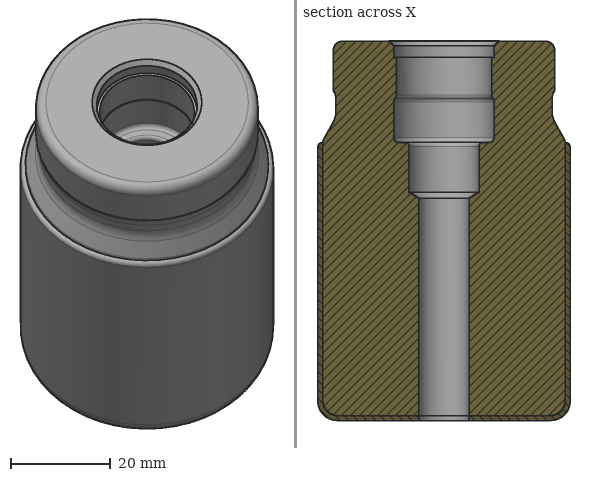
import cadquery as cq
import math

total_height = 76.2
rim_z = 55.85
neck_bottom_z = 62.2
neck_top_z = 64.0
collar_crease_z = 65.75
collar_bottom_z = 66.5

sleeve_radius = 25.4
sleeve_wall = 1.0
sleeve_bottom_fillet = 4.0
rim_fillet = sleeve_wall

core_radius = sleeve_radius - sleeve_wall
core_bottom_fillet = sleeve_bottom_fillet - sleeve_wall
cone_half_angle = math.radians(30.0)
cone_foot_fillet = 1.0
neck_radius = 21.75
neck_lower_fillet = 5.0
collar_radius = 22.3
collar_top_fillet = 2.0
collar_bottom_fillet = 1.0

bore_radius = 10.07
mouth_chamfer = 0.93
mouth_depth = 3.3
lip_radius = 9.5
lip_bottom_z = 65.35
lip_fillet = 1.0
bore_floor_z = 55.85
bore_floor_fillet = 1.0

pilot_radius = 7.0
pilot_edge_fillet = 0.75
pilot_depth = 10.0
through_radius = 5.0
drill_point_angle = math.radians(118.0)


def arc_point(center, radius, angle):
    """Point on a circle of the (r, z) half plane at an angle in radians."""
    return (center[0] + radius * math.cos(angle), center[1] + radius * math.sin(angle))


def revolve_about_z(profile):
    """Full turn of a closed (r, z) profile about the Z axis."""
    return profile.close().revolve(360, (0, 0), (0, 1))


def make_core_blank():
    """Solid core: cylinder with rounded foot, conical shoulder, neck and collar."""
    base_z = sleeve_wall
    bottom_center = (core_radius - core_bottom_fillet, base_z + core_bottom_fillet)
    foot_center = (core_radius - cone_foot_fillet, rim_z)
    neck_center = (neck_radius + neck_lower_fillet, neck_bottom_z)
    collar_top_center = (collar_radius - collar_top_fillet, total_height - collar_top_fillet)

    collar_bottom_center = (collar_radius - collar_bottom_fillet, collar_bottom_z)
    crease_angle = -math.asin((collar_bottom_z - collar_crease_z) / collar_bottom_fillet)
    crease = arc_point(collar_bottom_center, collar_bottom_fillet, crease_angle)

    return revolve_about_z(
        cq.Workplane("XZ")
        .moveTo(0, base_z)
        .lineTo(bottom_center[0], base_z)
        .threePointArc(
            arc_point(bottom_center, core_bottom_fillet, -math.pi / 4),
            (core_radius, bottom_center[1]),
        )
        .lineTo(core_radius, rim_z)
        .threePointArc(
            arc_point(foot_center, cone_foot_fillet, cone_half_angle / 2),
            arc_point(foot_center, cone_foot_fillet, cone_half_angle),
        )
        .lineTo(*arc_point(neck_center, neck_lower_fillet, math.pi + cone_half_angle))
        .threePointArc(
            arc_point(neck_center, neck_lower_fillet, math.pi + cone_half_angle / 2),
            (neck_radius, neck_bottom_z),
        )
        .lineTo(neck_radius, neck_top_z)
        .tangentArcPoint(crease, relative=False)
        .threePointArc(
            arc_point(collar_bottom_center, collar_bottom_fillet, crease_angle / 2),
            (collar_radius, collar_bottom_z),
        )
        .lineTo(collar_radius, collar_top_center[1])
        .threePointArc(
            arc_point(collar_top_center, collar_top_fillet, math.pi / 4),
            (collar_top_center[0], total_height),
        )
        .lineTo(0, total_height)
    )


def make_stepped_hole():
    """Hole cutter: chamfered mouth, lip, bore, rounded pilot hole and through hole."""
    pilot_floor_z = bore_floor_z - pilot_depth
    drill_cone_height = (pilot_radius - through_radius) / math.tan(drill_point_angle / 2)
    pilot_edge_center = (pilot_radius + pilot_edge_fillet, bore_floor_z - pilot_edge_fillet)
    floor_center = (bore_radius - bore_floor_fillet, bore_floor_z + bore_floor_fillet)

    lip_sweep = math.acos(1 - (bore_radius - lip_radius) / (2 * lip_fillet))
    undercut_top_z = lip_bottom_z - 2 * lip_fillet * math.sin(lip_sweep)
    concave_center = (bore_radius - lip_fillet, undercut_top_z)
    convex_center = (lip_radius + lip_fillet, lip_bottom_z)

    mouth_floor_z = total_height - mouth_depth
    return revolve_about_z(
        cq.Workplane("XZ")
        .lineTo(through_radius, 0)
        .lineTo(through_radius, pilot_floor_z - drill_cone_height)
        .lineTo(pilot_radius, pilot_floor_z)
        .lineTo(pilot_radius, pilot_edge_center[1])
        .threePointArc(
            arc_point(pilot_edge_center, pilot_edge_fillet, 3 * math.pi / 4),
            (pilot_edge_center[0], bore_floor_z),
        )
        .lineTo(floor_center[0], bore_floor_z)
        .threePointArc(
            arc_point(floor_center, bore_floor_fillet, -math.pi / 4),
            (bore_radius, floor_center[1]),
        )
        .lineTo(bore_radius, undercut_top_z)
        .threePointArc(
            arc_point(concave_center, lip_fillet, lip_sweep / 2),
            arc_point(concave_center, lip_fillet, lip_sweep),
        )
        .threePointArc(
            arc_point(convex_center, lip_fillet, math.pi + lip_sweep / 2),
            (lip_radius, lip_bottom_z),
        )
        .lineTo(lip_radius, mouth_floor_z)
        .lineTo(bore_radius, mouth_floor_z)
        .lineTo(bore_radius, total_height - mouth_chamfer)
        .lineTo(bore_radius + mouth_chamfer, total_height)
        .lineTo(0, total_height)
    )


def make_sleeve():
    """Thin cup with a rounded rim and foot and a hole through its bottom."""
    outer_foot_center = (sleeve_radius - sleeve_bottom_fillet, sleeve_bottom_fillet)
    rim_center = (sleeve_radius - rim_fillet, rim_z - rim_fillet)
    return revolve_about_z(
        cq.Workplane("XZ")
        .moveTo(through_radius, 0)
        .lineTo(outer_foot_center[0], 0)
        .threePointArc(
            arc_point(outer_foot_center, sleeve_bottom_fillet, -math.pi / 4),
            (sleeve_radius, sleeve_bottom_fillet),
        )
        .lineTo(sleeve_radius, rim_center[1])
        .threePointArc(arc_point(rim_center, rim_fillet, math.pi / 4), (core_radius, rim_z))
        .lineTo(core_radius, sleeve_bottom_fillet)
        .threePointArc(
            arc_point(outer_foot_center, core_bottom_fillet, -math.pi / 4),
            (outer_foot_center[0], sleeve_wall),
        )
        .lineTo(through_radius, sleeve_wall)
    )


core = make_core_blank().cut(make_stepped_hole())
sleeve = make_sleeve()

result = cq.Compound.makeCompound([core.val(), sleeve.val()])